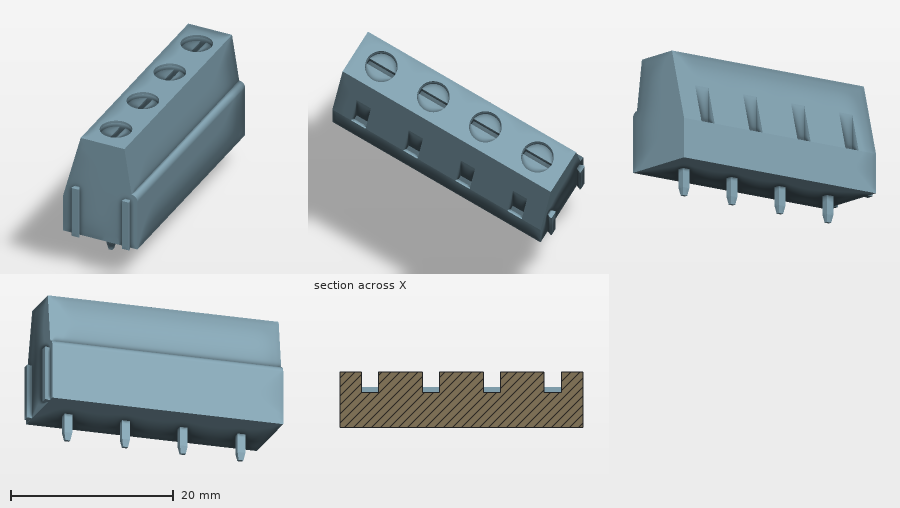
import cadquery as cq
import math

pole_count = 4
overall_length = 30.65
housing_length = 29.98
housing_width = 10.2
housing_height = 14.0
pole_pitch = housing_length / pole_count
pole_positions = [(pole + 0.5) * pole_pitch for pole in range(pole_count)]

left_wall_height = 5.0
top_left_x = 2.42
top_right_x = 8.43
shoulder_x = 9.4
shoulder_height = 7.7
shoulder_radius = housing_width - shoulder_x

pocket_length = 2.05
pocket_back_x = 1.3
well_start_x = 0.18
well_deep_x = 0.52
ledge_drop = 0.6
well_drop = 1.38

rib_positions = [2.0, 8.9]
rib_height = 6.9
rib_depth = overall_length - housing_length
rib_root_width = 0.6
rib_tip_width = 1.07
rib_chamfer = 0.1

screw_x = (top_left_x + top_right_x) / 2
bore_diameter = 4.0
head_diameter = 3.83
bore_mouth_depth = 0.3
funnel_radius = 1.32
funnel_step = (bore_diameter - head_diameter) / 2
funnel_height = math.sqrt(funnel_radius**2 - (funnel_radius - funnel_step) ** 2)
head_recess = bore_mouth_depth + funnel_height
head_thickness = 1.85
head_top = housing_height - head_recess
head_bottom = head_top - head_thickness
drive_slot_width = 0.75
drive_slot_depth = 0.92

pin_x = 4.8
pin_thickness = 0.85
pin_width = 1.0
pin_length = 3.37
pin_taper_length = 0.95
pin_tip_inset = 0.18


def housing_block():
    """Extrude the cross-section along Y, with its sloped sides and rounded shoulder."""
    profile = (
        cq.Workplane("XZ")
        .moveTo(0, 0)
        .lineTo(housing_width, 0)
        .lineTo(housing_width, shoulder_height - shoulder_radius)
        .radiusArc((shoulder_x, shoulder_height), -shoulder_radius)
        .lineTo(top_right_x, housing_height)
        .lineTo(top_left_x, housing_height)
        .lineTo(0, left_wall_height)
        .close()
    )
    return profile.extrude(-housing_length)


def pocket(y):
    """Upright pocket in the sloped side, with a stepped well in its floor."""
    ledge_z = left_wall_height - ledge_drop
    well_z = left_wall_height - well_drop
    profile = (
        cq.Workplane("XZ", origin=(0, y - pocket_length / 2, 0))
        .moveTo(0, left_wall_height)
        .lineTo(well_start_x, left_wall_height)
        .lineTo(well_start_x, ledge_z)
        .lineTo(well_deep_x, ledge_z)
        .lineTo(well_deep_x, well_z)
        .lineTo(pocket_back_x, well_z)
        .lineTo(pocket_back_x, housing_height)
        .lineTo(0, housing_height)
        .close()
    )
    return profile.extrude(-pocket_length)


def rib(x):
    """Dovetail rib that widens outward and has chamfered outer edges."""
    root = rib_root_width / 2
    tip = rib_tip_width / 2
    widest_y = rib_chamfer - rib_depth
    profile = (
        cq.Workplane("XY", origin=(x, 0, 0))
        .moveTo(-root, 0)
        .lineTo(-tip, widest_y)
        .lineTo(-tip + rib_chamfer, -rib_depth)
        .lineTo(tip - rib_chamfer, -rib_depth)
        .lineTo(tip, widest_y)
        .lineTo(root, 0)
        .close()
    )
    return profile.extrude(rib_height)


def screw_bore(y):
    """Bore around the screw head, flaring above it along an arc to a wider straight mouth."""
    mouth_z = housing_height - bore_mouth_depth
    head_radius = head_diameter / 2
    bore_radius = bore_diameter / 2
    profile = (
        cq.Workplane("XZ", origin=(screw_x, y, 0))
        .moveTo(0, head_bottom)
        .lineTo(head_radius, head_bottom)
        .lineTo(head_radius, head_top)
        .radiusArc((bore_radius, mouth_z), funnel_radius)
        .lineTo(bore_radius, housing_height)
        .lineTo(0, housing_height)
        .close()
    )
    return profile.revolve(360, (0, 0, 0), (0, 1, 0))


def pin_shank(y, bottom_z):
    """Straight rectangular bar from the given height up to the screw head."""
    return (
        cq.Workplane("XY", origin=(pin_x, y, bottom_z))
        .rect(pin_thickness, pin_width)
        .extrude(head_bottom - bottom_z)
    )


def make_housing():
    housing = housing_block()
    for x in rib_positions:
        housing = housing.union(rib(x))
    for y in pole_positions:
        housing = housing.cut(pocket(y)).cut(screw_bore(y)).cut(pin_shank(y, 0))
    return housing


def make_terminal(y):
    """Slotted screw head and tapered solder pin in one piece."""
    taper_z = pin_taper_length - pin_length
    head = (
        cq.Workplane("XY", origin=(screw_x, y, head_bottom))
        .circle(head_diameter / 2)
        .extrude(head_thickness)
    )
    drive_slot = (
        cq.Workplane("XY", origin=(screw_x, y, head_top - drive_slot_depth))
        .rect(drive_slot_width, head_diameter)
        .extrude(drive_slot_depth)
    )
    tip = (
        cq.Workplane("XY", origin=(pin_x, y, taper_z))
        .rect(pin_thickness, pin_width)
        .workplane(offset=-pin_taper_length)
        .rect(pin_thickness - 2 * pin_tip_inset, pin_width - 2 * pin_tip_inset)
        .loft()
    )
    return head.cut(drive_slot).union(pin_shank(y, taper_z)).union(tip)


housing = make_housing()
terminals = [make_terminal(y) for y in pole_positions]

result = cq.Compound.makeCompound([housing.val(), *[terminal.val() for terminal in terminals]])